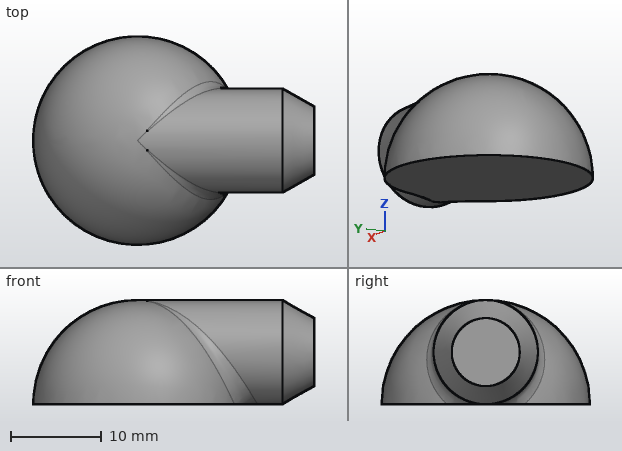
import cadquery as cq
import math

overall_length = 31.0
ball_radius = 11.5
taper_length = 3.53
tip_radius = 3.75
blend_radius = 2.0

stem_radius = ball_radius / 2
stem_end = overall_length - ball_radius

ball_pole_tilt = 60.0

blend_start_angle = 10.0
blend_end_angle = 180.0
blend_sections = 18
embed = 0.005


def make_ball():
    """Full ball centred on the origin, with its poles tilted clear of the joint and the base."""
    ball = cq.Workplane("XY").sphere(ball_radius)
    return ball.rotate((0, 0, 0), (0, 1, 0), -ball_pole_tilt)


def make_stem():
    """Round stem along +X, starting inside the ball and ending in a tapered tip."""
    profile = [
        (0, 0),
        (0, stem_radius),
        (stem_end - taper_length, stem_radius),
        (stem_end, tip_radius),
        (stem_end, 0),
    ]
    stem = cq.Workplane("XY").polyline(profile).close().revolve(360, (0, 0, 0), (1, 0, 0))
    return stem.translate((0, 0, stem_radius))


def stem_point(x, radius, angle):
    """Point at a radius from the stem axis and an angle from the stem's top line."""
    return cq.Vector(x, radius * math.sin(angle), stem_radius + radius * math.cos(angle))


def blend_section(angle):
    """Cross-section of the blend where a rolling sphere touches both ball and stem."""
    orbit_radius = stem_radius + blend_radius
    centre_x = 2 * math.sqrt(stem_radius * orbit_radius) * math.sin(angle / 2)
    centre = stem_point(centre_x, orbit_radius, angle)
    on_ball = centre.normalized() * (ball_radius - embed)
    on_stem = stem_point(centre_x, stem_radius - embed, angle)
    middle_direction = ((on_ball - centre).normalized() + (on_stem - centre).normalized()).normalized()
    on_arc = centre + middle_direction * blend_radius
    root = on_ball + on_stem - centre
    return cq.Wire.assembleEdges([
        cq.Edge.makeThreePointArc(on_ball, on_arc, on_stem),
        cq.Edge.makeLine(on_stem, root),
        cq.Edge.makeLine(root, on_ball),
    ])


def make_blend():
    """Concave blend on the +Y side of the joint, from near the top to below the base."""
    step = (blend_end_angle - blend_start_angle) / blend_sections
    angles = [math.radians(blend_start_angle + i * step) for i in range(blend_sections + 1)]
    return cq.Workplane(cq.Solid.makeLoft([blend_section(angle) for angle in angles]))


def keep_upper_half(body):
    """Cut the body flat at the base plane."""
    upper_space = cq.Workplane("XY").box(
        3 * overall_length, 3 * overall_length, overall_length, centered=(True, True, False)
    )
    return body.intersect(upper_space)


blend = make_blend()
whole_body = make_ball().union(make_stem()).union(blend).union(blend.mirror("XZ"))
result = keep_upper_half(whole_body)